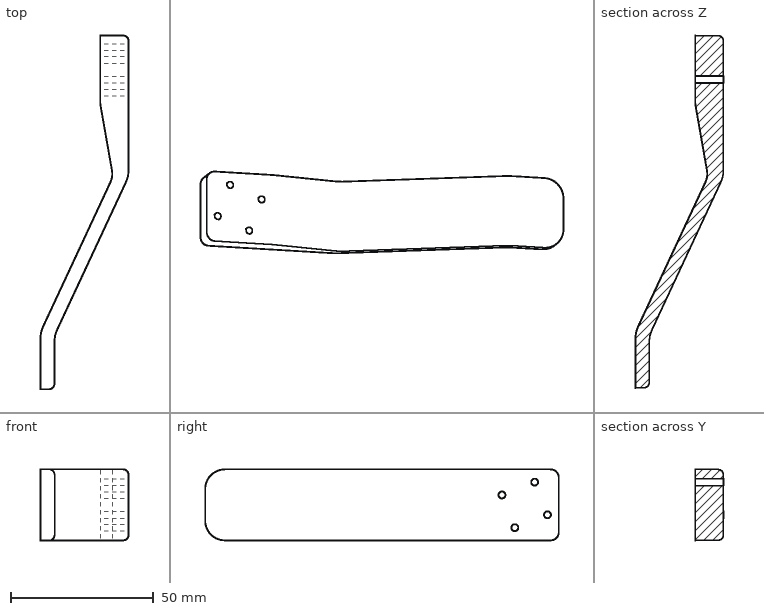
import cadquery as cq
import math

length = 124.08
width = 25.0
offset = 20.97
pad_thickness = 10.0
arm_thickness = 5.0
arm_angle = 25.0
taper_angle = 10.0
grip_bend_y = 20.0
taper_start_y = 100.0
bend_radius = 10.0
inner_pad_bend_radius = 7.0
pad_corner_radius = 3.0
grip_corner_radius = 7.0
front_edge_radius = 2.0

hole_diameter = 2.35
hole_circle_radius = 8.7
hole_count = 4
hole_first_angle = 66.5
hole_center_from_end = 12.0

arm_slope = math.tan(math.radians(arm_angle))
taper_slope = math.tan(math.radians(taper_angle))
front_x = offset + pad_thickness
front_grip_bend_y = grip_bend_y - arm_thickness * math.tan(math.radians(arm_angle / 2))
front_pad_bend_y = front_grip_bend_y + (front_x - arm_thickness) / arm_slope
back_pad_bend_y = (offset + taper_slope * taper_start_y + arm_slope * grip_bend_y) / (arm_slope + taper_slope)
back_pad_bend_x = arm_slope * (back_pad_bend_y - grip_bend_y)


def round_upright_edge(body, x, y, radius):
    """Fillet the edge parallel to Z that passes through (x, y)."""
    edge = cq.selectors.NearestToPointSelector((x, y, 0))
    return body.edges("|Z").edges(edge).fillet(radius)


def make_bent_bar():
    """Extrude the side profile, centred on Z, and round its bends."""
    outline = [
        (0, 0),
        (arm_thickness, 0),
        (arm_thickness, front_grip_bend_y),
        (front_x, front_pad_bend_y),
        (front_x, length),
        (offset, length),
        (offset, taper_start_y),
        (back_pad_bend_x, back_pad_bend_y),
        (0, grip_bend_y),
    ]
    bar = cq.Workplane("XY").polyline(outline).close().extrude(width / 2, both=True)
    bar = round_upright_edge(bar, arm_thickness, front_grip_bend_y, bend_radius)
    bar = round_upright_edge(bar, front_x, front_pad_bend_y, bend_radius)
    bar = round_upright_edge(bar, offset, taper_start_y, bend_radius)
    bar = round_upright_edge(bar, back_pad_bend_x, back_pad_bend_y, inner_pad_bend_radius)
    return round_upright_edge(bar, 0, grip_bend_y, bend_radius)


def round_end_corners(body):
    """Round the corners of the pad end and of the grip end."""
    body = body.faces(">Y").edges("|X").fillet(pad_corner_radius)
    return body.faces("<Y").edges("|X").fillet(grip_corner_radius)


def round_front_edges(body):
    """Round the closed rim of the front face; one edge picks its tangent chain."""
    return body.faces(">X").edges(">Y").fillet(front_edge_radius)


def drill_holes(body):
    """Drill the mounting holes through the pad along X."""
    center_y = length - hole_center_from_end
    for index in range(hole_count):
        angle = math.radians(hole_first_angle + index * 360 / hole_count)
        y = center_y + hole_circle_radius * math.cos(angle)
        z = hole_circle_radius * math.sin(angle)
        hole = cq.Workplane("YZ").center(y, z).circle(hole_diameter / 2).extrude(front_x)
        body = body.cut(hole)
    return body


result = drill_holes(round_front_edges(round_end_corners(make_bent_bar())))